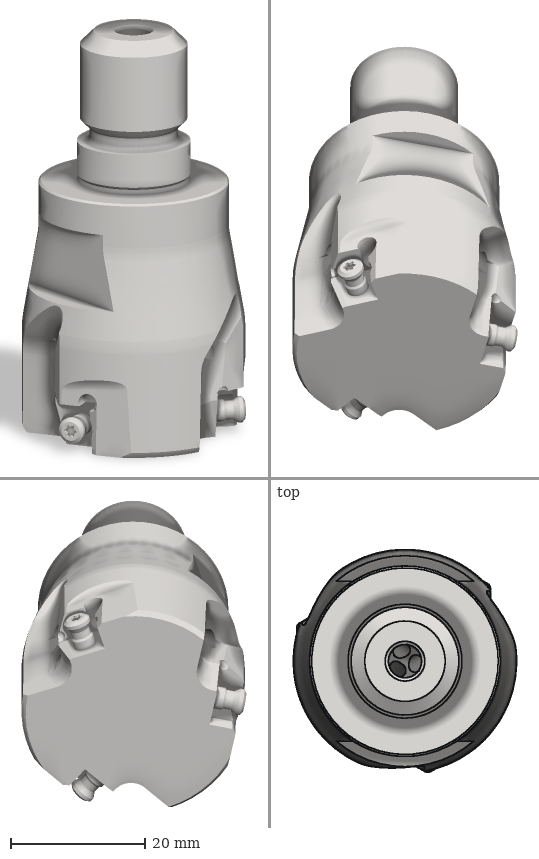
import cadquery as cq
import math


total_height = 61.8
body_radius = 16.655
edge_chamfer_width = 0.6
edge_chamfer_height = 0.9
neck_radius = 14.2
cone_angle = math.radians(10)
cone_blend_radius = 11.1
lower_blend_start = 16.2
shoulder_height = 38.75
shoulder_chamfer = 0.3

undercut_radius = 8.1
undercut_top = 39.3
collar_radius = 8.5
collar_bottom = 39.75
collar_top = 44.8
groove_radius = 6.6
groove_fillet = 0.8
thread_radius = 8.05
thread_bottom = 48.25
tip_chamfer = 2.05

flat_distance = 11.9
flat_bottom = 22.45
flat_top = 33.8

bore_radius = 2.5
bore_chamfer = 0.5
bore_bottom = 34.6
drill_tip_depth = 1.4
coolant_radius = 1.25
coolant_start = cq.Vector(0.05, -1.25, 35.2)
coolant_exit = cq.Vector(10.75, -8.85, 12.65)

pocket_count = 3
first_pocket_angle = 60.0
pocket_angles = [first_pocket_angle + i * 360.0 / pocket_count for i in range(pocket_count)]
rake = math.tan(math.radians(1.2))
reach = 27.8
below = -1.25

gullet_floor = 7.8
gullet_floor_top = 12.35
gullet_cap_radius = 4.95
gullet_cap_angle = math.radians(36)
gullet_groove_radius = 2.7
gullet_groove_offset = 1.1
gullet_groove_depth = 8.85
gullet_wall_normal = cq.Vector(0.53, -0.85, 0).normalized()
gullet_wall_point = cq.Vector(15.65, -5.7, 11.1)

upper_root_radius = 2.8
upper_root_offset = -8.35
upper_root_lean = 0.06
lower_root_radius = 3.1
lower_root_offset = -6.25
lower_root_lean = -0.28

flank_face = 15.605
flank_height = 10.1
flank_fillet = 2.3
flank_tilt = 6.5

seat_face = 11.5
seat_height = 6.9
seat_undercut_depth = 0.3
seat_undercut_height = 0.45
seat_wall = -0.7
seat_wall_lean = -0.09
seat_chamfer_edge = 0.1
seat_chamfer_angle = math.radians(35.5)
seat_bevel = -5.55
seat_bevel_lean = -0.19
seat_bevel_angle = math.radians(7)
seat_bevel_width = 3.1
head_clearance_radius = 3.1
relief_radius = 1.5
relief_side = -1.1
relief_height = 7.9
corner_ball_radius = 0.85
corner_ball_centre = (12.35, -7.55, 7.35)

screw_side = -3.74
screw_height = 3.43
screw_tip = 6.55
thread_end = 12.9
neck_start = 13.2
neck_end = 14.35
head_underside = 15.2
head_rim = 15.75
screw_top = 16.16
screw_thread_radius = 1.65
screw_neck_radius = 1.4
head_radius = 2.0
head_face_radius = 1.45
socket_core_radius = 0.75
socket_lobe_radius = 0.25
socket_lobe_count = 6
socket_depth = 0.75


def turned_blank():
    """Shank, collar and conical cutter head, turned about Z."""
    blend_sin = cone_blend_radius * math.sin(cone_angle)
    blend_drop = cone_blend_radius * (1 - math.cos(cone_angle))
    half_sin = cone_blend_radius * math.sin(cone_angle / 2)
    half_drop = cone_blend_radius * (1 - math.cos(cone_angle / 2))
    cone_bottom = lower_blend_start + blend_sin
    cone_drop = body_radius - neck_radius - 2 * blend_drop
    cone_top = cone_bottom + cone_drop / math.tan(cone_angle)
    upper_blend_end = cone_top + blend_sin
    fillet_mid = groove_fillet * (1 - math.sqrt(0.5))
    groove_top = thread_bottom - (thread_radius - groove_radius)
    profile = (
        cq.Workplane("XZ")
        .lineTo(body_radius - edge_chamfer_width, 0)
        .lineTo(body_radius, edge_chamfer_height)
        .lineTo(body_radius, lower_blend_start)
        .threePointArc(
            (body_radius - half_drop, lower_blend_start + half_sin),
            (body_radius - blend_drop, cone_bottom),
        )
        .lineTo(neck_radius + blend_drop, cone_top)
        .threePointArc(
            (neck_radius + half_drop, upper_blend_end - half_sin), (neck_radius, upper_blend_end)
        )
        .lineTo(neck_radius, shoulder_height - shoulder_chamfer)
        .lineTo(neck_radius - shoulder_chamfer, shoulder_height)
        .lineTo(collar_radius, shoulder_height)
        .lineTo(undercut_radius, undercut_top)
        .lineTo(collar_radius, collar_bottom)
        .lineTo(collar_radius, collar_top)
        .lineTo(groove_radius + groove_fillet, collar_top)
        .threePointArc(
            (groove_radius + fillet_mid, collar_top + fillet_mid),
            (groove_radius, collar_top + groove_fillet),
        )
        .lineTo(groove_radius, groove_top)
        .lineTo(thread_radius, thread_bottom)
        .lineTo(thread_radius, total_height - tip_chamfer)
        .lineTo(thread_radius - tip_chamfer, total_height)
        .lineTo(0, total_height)
        .close()
    )
    return profile.revolve(360, (0, 0, 0), (0, 1, 0))


def spanner_flats():
    """Material beyond the two parallel flats on the +Y and -Y sides."""
    depth = body_radius
    flats = cq.Workplane("XY")
    for side in (1, -1):
        flats = flats.union(
            cq.Workplane("XY")
            .box(2 * reach, depth, flat_top - flat_bottom, centered=(True, True, False))
            .translate((0, side * (flat_distance + depth / 2), flat_bottom))
        )
    return flats


def central_bore():
    """Coolant bore from the shank tip, with a chamfered mouth and a conical drill end."""
    return (
        cq.Workplane("XZ")
        .moveTo(0, bore_bottom - drill_tip_depth)
        .lineTo(bore_radius, bore_bottom)
        .lineTo(bore_radius, total_height - bore_chamfer)
        .lineTo(bore_radius + bore_chamfer, total_height)
        .lineTo(0, total_height)
        .close()
        .revolve(360, (0, 0, 0), (0, 1, 0))
    )


def coolant_channel():
    """Slanting channel from the end of the bore to the gullet."""
    path = coolant_exit - coolant_start
    return cq.Workplane(obj=cq.Solid.makeCylinder(coolant_radius, path.Length, coolant_start, path))


def prism_along_y(profile):
    """Extrude an XZ outline to both sides of the pocket's centre plane."""
    return profile.extrude(reach, both=True)


def gullet_cap_point(angle):
    """Depth and height on the round cap of the gullet where its surface leans back by the angle."""
    floor_angle = math.atan(rake)
    depth = gullet_floor + rake * gullet_floor_top
    return (
        depth + gullet_cap_radius * (math.cos(floor_angle) - math.cos(angle)),
        gullet_floor_top + gullet_cap_radius * (math.sin(angle) - math.sin(floor_angle)),
    )


def gullet_depth_limit():
    """Space outside the gullet floor: raked floor, round cap and sloping roof."""
    roof_depth, roof_height = gullet_cap_point(gullet_cap_angle)
    roof_end = roof_height + (reach - roof_depth) / math.tan(gullet_cap_angle)
    return prism_along_y(
        cq.Workplane("XZ")
        .moveTo(gullet_floor + rake * below, below)
        .lineTo(gullet_floor + rake * gullet_floor_top, gullet_floor_top)
        .threePointArc(
            gullet_cap_point((math.atan(rake) + gullet_cap_angle) / 2), (roof_depth, roof_height)
        )
        .lineTo(reach, roof_end)
        .lineTo(reach, below)
        .close()
    )


def gullet_groove():
    """Round groove tangent to the gullet roof, opening into the plane gullet wall, swept along both."""
    roof_depth, roof_height = gullet_cap_point(gullet_cap_angle)
    roof_normal = cq.Vector(math.cos(gullet_cap_angle), 0, -math.sin(gullet_cap_angle))
    roof_point = cq.Vector(roof_depth, 0, roof_height)
    wall_normal = gullet_wall_normal
    axis = roof_normal.cross(wall_normal).normalized()
    along_roof = axis.cross(roof_normal)
    along_roof = along_roof * math.copysign(1, along_roof.dot(wall_normal))
    along_wall = axis.cross(wall_normal)
    along_wall = along_wall * math.copysign(1, along_wall.dot(roof_normal))
    wall_gap = (gullet_wall_point - roof_point).dot(wall_normal)
    corner = roof_point + along_roof * (wall_gap / along_roof.dot(wall_normal))

    roof_tangent = corner + along_roof * gullet_groove_offset
    centre = roof_tangent + roof_normal * gullet_groove_radius
    to_centre = centre - corner
    half_chord = math.sqrt(gullet_groove_radius**2 - to_centre.dot(wall_normal) ** 2)
    ridge = corner + along_wall * (to_centre.dot(along_wall) + half_chord)
    arc_side = (roof_tangent - centre) + (ridge - centre)
    arc_middle = centre + arc_side.normalized() * gullet_groove_radius

    roof_far = roof_tangent + along_roof * reach
    wall_far = ridge + along_wall * reach
    outer = wall_far + along_roof * reach
    section = cq.Wire.assembleEdges(
        [
            cq.Edge.makeLine(roof_far, roof_tangent),
            cq.Edge.makeThreePointArc(roof_tangent, arc_middle, ridge),
            cq.Edge.makeLine(ridge, wall_far),
            cq.Edge.makeLine(wall_far, outer),
            cq.Edge.makeLine(outer, roof_far),
        ]
    ).moved(cq.Location(axis * -reach))
    groove = cq.Workplane(obj=cq.Solid.extrudeLinear(section, [], axis * (2 * reach)))
    outer_space = cq.Workplane("XY").box(reach, 2 * reach, 2 * reach, centered=(False, True, True))
    return groove.intersect(outer_space.translate((gullet_groove_depth, 0, 0)))


def leaning_prism(outline, lean, height):
    """Sweep a closed outline upwards along the rake while it leans sideways."""
    sweep = cq.Vector(rake, lean, 1) * height
    return cq.Workplane(obj=cq.Solid.extrudeLinear(outline.wire().val(), [], sweep))


def gullet_root(offset, radius, lean):
    """Space beside a leaning gullet wall that meets the floor in a round of the given radius."""
    bottom_floor = gullet_floor + rake * below
    bottom_wall = offset + lean * below
    mid = radius * (1 - math.sqrt(0.5))
    outline = (
        cq.Workplane("XY")
        .workplane(offset=below)
        .moveTo(reach, bottom_wall)
        .lineTo(bottom_floor + radius, bottom_wall)
        .threePointArc((bottom_floor + mid, bottom_wall - mid), (bottom_floor, bottom_wall - radius))
        .lineTo(bottom_floor, -reach)
        .lineTo(reach, -reach)
        .close()
    )
    top = gullet_cap_point(gullet_cap_angle)[1]
    return leaning_prism(outline, lean, top - below)


def gullet():
    """Chip gullet: the groove and both roots, bounded by the floor, cap and roof."""
    space = (
        gullet_groove()
        .union(gullet_root(upper_root_offset, upper_root_radius, upper_root_lean))
        .union(gullet_root(lower_root_offset, lower_root_radius, lower_root_lean))
    )
    return space.intersect(gullet_depth_limit())


def flank_flat():
    """Flat beside the insert seat, ending upwards in a tilted round."""
    low = -reach
    mid = flank_fillet * (1 - math.sqrt(0.5))
    top_depth = flank_face + rake * flank_height
    profile = (
        cq.Workplane("XZ")
        .moveTo(flank_face + rake * low, low)
        .lineTo(top_depth, flank_height)
        .threePointArc(
            (top_depth + mid, flank_height + flank_fillet - mid),
            (top_depth + flank_fillet, flank_height + flank_fillet),
        )
        .lineTo(reach, flank_height + flank_fillet)
        .lineTo(reach, low)
        .close()
    )
    return prism_along_y(profile).rotate((0, 0, flank_height), (1, 0, flank_height), flank_tilt)


def insert_seat():
    """Raked insert seat with an undercut below its roof, a leaning side wall and a chamfered outer edge."""
    chamfer_run = reach - flank_face
    wall = leaning_prism(
        cq.Workplane("XY")
        .workplane(offset=below)
        .moveTo(0, -reach)
        .lineTo(0, seat_wall + seat_wall_lean * below)
        .lineTo(reach, seat_wall + seat_wall_lean * below)
        .lineTo(reach, -reach)
        .close(),
        seat_wall_lean,
        reach,
    )
    chamfer = (
        cq.Workplane("XY")
        .workplane(offset=below)
        .moveTo(flank_face - chamfer_run * math.tan(seat_chamfer_angle), seat_chamfer_edge - chamfer_run)
        .lineTo(flank_face + chamfer_run * math.tan(seat_chamfer_angle), seat_chamfer_edge + chamfer_run)
        .lineTo(reach, seat_chamfer_edge - chamfer_run)
        .close()
        .extrude(reach)
    )
    head_clearance = (
        cq.Workplane("YZ").center(screw_side, screw_height).circle(head_clearance_radius).extrude(reach)
    )
    seat_top_depth = seat_face + rake * seat_height
    seat_roof = seat_height + seat_undercut_height
    depth_limit = prism_along_y(
        cq.Workplane("XZ")
        .moveTo(seat_face + rake * below, below)
        .lineTo(seat_top_depth, seat_height)
        .lineTo(seat_top_depth - seat_undercut_depth, seat_roof)
        .lineTo(reach, seat_roof)
        .lineTo(reach, below)
        .close()
    )
    return wall.union(chamfer).union(head_clearance).intersect(depth_limit)


def seat_edge_bevel():
    """Shallow bevel along the edge where the seat meets the gullet."""
    depth = seat_face + rake * below
    edge = seat_bevel + seat_bevel_lean * below
    far = edge - seat_bevel_width
    outline = (
        cq.Workplane("XY")
        .workplane(offset=below)
        .moveTo(depth, edge)
        .lineTo(depth - seat_bevel_width * math.tan(seat_bevel_angle), far)
        .lineTo(depth, far)
        .close()
    )
    return leaning_prism(outline, seat_bevel_lean, seat_height - below)


def wall_corner_relief():
    """Ball-ended relief in the corner between the seat, its roof and its side wall."""
    centre_depth = seat_face + relief_radius
    drilled = (
        cq.Workplane("YZ", origin=(centre_depth, 0, 0))
        .center(relief_side, relief_height)
        .circle(relief_radius)
        .extrude(reach - centre_depth)
    )
    ball = cq.Workplane("XY").sphere(relief_radius)
    return drilled.union(ball.translate((centre_depth, relief_side, relief_height)))


def gullet_corner_relief():
    """Small ball-shaped relief in the seat roof beside the gullet."""
    return cq.Workplane("XY").sphere(corner_ball_radius).translate(corner_ball_centre)


def screw_hole():
    return (
        cq.Workplane("YZ", origin=(screw_tip, 0, 0))
        .center(screw_side, screw_height)
        .circle(screw_thread_radius)
        .extrude(thread_end - screw_tip)
    )


def turned_to(shape, angle):
    return shape.rotate((0, 0, 0), (0, 0, 1), angle)


def cutter_body():
    body = turned_blank().cut(spanner_flats()).cut(central_bore())
    features = [
        gullet(),
        flank_flat(),
        insert_seat(),
        seat_edge_bevel(),
        wall_corner_relief(),
        gullet_corner_relief(),
        coolant_channel(),
        screw_hole(),
    ]
    for angle in pocket_angles:
        for feature in features:
            body = body.cut(turned_to(feature, angle))
    return body


def clamping_screw():
    """Countersunk screw with a six-lobe socket, standing out of the insert seat along X."""
    screw = (
        cq.Workplane("XY")
        .moveTo(screw_tip, 0)
        .lineTo(screw_tip, screw_thread_radius)
        .lineTo(thread_end, screw_thread_radius)
        .lineTo(neck_start, screw_neck_radius)
        .lineTo(neck_end, screw_neck_radius)
        .lineTo(head_underside, head_radius)
        .lineTo(head_rim, head_radius)
        .lineTo(screw_top, head_face_radius)
        .lineTo(screw_top, 0)
        .close()
        .revolve(360, (0, 0, 0), (1, 0, 0))
    )
    socket_plane = cq.Workplane("YZ", origin=(screw_top - socket_depth, 0, 0))
    socket = socket_plane.circle(socket_core_radius).extrude(socket_depth)
    lobes = (
        socket_plane.polarArray(socket_core_radius, 0, 360, socket_lobe_count)
        .circle(socket_lobe_radius)
        .extrude(socket_depth)
    )
    return screw.cut(socket.union(lobes)).translate((0, screw_side, screw_height))


cutter = cutter_body()
screws = [turned_to(clamping_screw(), angle) for angle in pocket_angles]

result = cq.Compound.makeCompound([cutter.val(), *[screw.val() for screw in screws]])